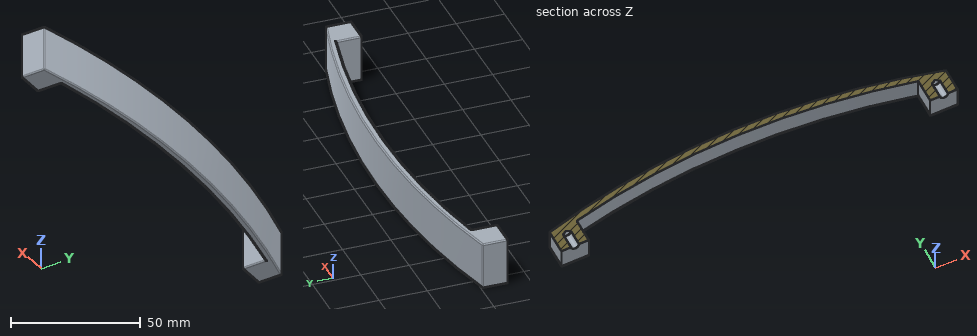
import cadquery as cq
import math

length = 172.0
depth = 22.0
height = 20.0

foot_width = 12.0
foot_outer_depth = 10.3
foot_inner_depth = 10.3
bow_thickness = 3.3
edge_radius = 0.5
corner_margin = 0.2

hole_diameter = 3.3
hole_depth = 6.9
tip_angle = 118.0

hole_radius = hole_diameter / 2
tip_depth = hole_radius / math.tan(math.radians(tip_angle / 2))
half_length = length / 2
inner_half_span = half_length - foot_width
hole_offset = half_length - foot_width / 2


def handle_body():
    """Bow and feet, extruded over the height, with edges rounded except at the foot bases and inner corners."""
    body = (
        cq.Workplane("XY")
        .workplane(offset=-height / 2)
        .moveTo(-half_length, 0)
        .lineTo(-half_length, foot_outer_depth)
        .threePointArc((0, depth), (half_length, foot_outer_depth))
        .lineTo(half_length, 0)
        .lineTo(inner_half_span, 0)
        .lineTo(inner_half_span, foot_inner_depth)
        .threePointArc((0, depth - bow_thickness), (-inner_half_span, foot_inner_depth))
        .lineTo(-inner_half_span, 0)
        .close()
        .extrude(height)
    )
    base_edges = body.faces("<Y").edges().vals()
    corner_zone = cq.selectors.BoxSelector(
        (-half_length + edge_radius, foot_inner_depth - corner_margin, -corner_margin),
        (half_length - edge_radius, foot_inner_depth + corner_margin, corner_margin),
    )
    inner_corners = body.edges("|Z").edges(corner_zone).vals()
    sharp_edges = base_edges + inner_corners
    rounded_edges = [
        edge for edge in body.edges().vals() if not any(edge.isSame(sharp) for sharp in sharp_edges)
    ]
    return body.newObject(rounded_edges).fillet(edge_radius)


def screw_hole(center_x):
    """Blind hole with a conical drill tip, running into a foot from its base."""
    return (
        cq.Workplane("XY")
        .lineTo(hole_radius, 0)
        .lineTo(hole_radius, hole_depth)
        .lineTo(0, hole_depth + tip_depth)
        .close()
        .revolve(360, (0, 0), (0, 1))
        .translate((center_x, 0, 0))
    )


result = handle_body()
for side in (-1, 1):
    result = result.cut(screw_hole(side * hole_offset))